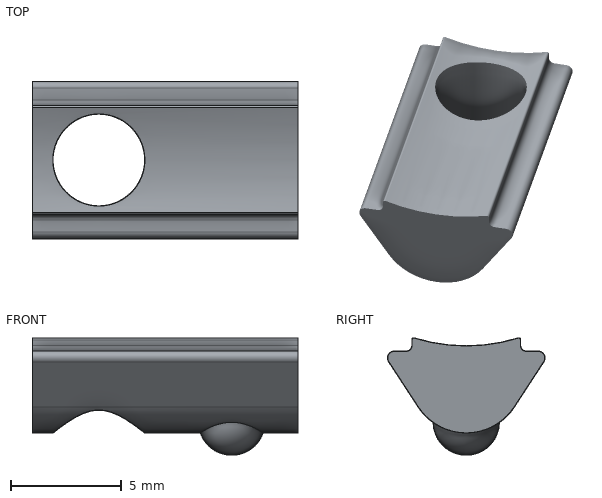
import cadquery as cq
import math

length = 12.0
width = 7.12
total_height = 5.3
body_height = 4.3
shoulder_drop = 0.6
lip_width = 4.92
groove_depth = 0.36
belly_radius = 2.6
ear_radius = 0.31
step_fillet = 0.25
lip_radius = 0.1
hole_diameter = 4.14
hole_x = 3.0
ball_x = 9.0
ball_radius = 1.5

body_bottom = total_height - body_height
shoulder_z = total_height - shoulder_drop

half_lip = lip_width / 2
crest_y = half_lip - lip_radius
lip_center_z = total_height - lip_radius

ear_y = width / 2 - ear_radius
ear_z = shoulder_z - ear_radius
belly_z = body_bottom + belly_radius
center_rise = ear_z - belly_z
center_distance = math.hypot(ear_y, center_rise)
flank_angle = math.atan2(center_rise, ear_y) + math.asin((belly_radius - ear_radius) / center_distance)
normal_y = math.sin(flank_angle)
normal_z = -math.cos(flank_angle)
flank_bottom = (belly_radius * normal_y, belly_z + belly_radius * normal_z)
flank_top = (ear_y + ear_radius * normal_y, ear_z + ear_radius * normal_z)


def mirrored(point):
    """Reflect a (y, z) profile point across the middle plane."""
    return (-point[0], point[1])


def make_body():
    """Extrude the cross-section along X and fillet its inner steps."""
    ear_side = (width / 2, ear_z)
    ear_top = (ear_y, shoulder_z)
    step = (half_lip, shoulder_z)
    lip_start = (half_lip, lip_center_z)
    lip_middle = (
        crest_y + lip_radius * math.sqrt(0.5),
        lip_center_z + lip_radius * math.sqrt(0.5),
    )
    crest = (crest_y, total_height)
    body = (
        cq.Workplane("YZ")
        .moveTo(*flank_bottom)
        .lineTo(*flank_top)
        .threePointArc(ear_side, ear_top)
        .lineTo(*step)
        .lineTo(*lip_start)
        .threePointArc(lip_middle, crest)
        .threePointArc((0, total_height - groove_depth), mirrored(crest))
        .threePointArc(mirrored(lip_middle), mirrored(lip_start))
        .lineTo(*mirrored(step))
        .lineTo(*mirrored(ear_top))
        .threePointArc(mirrored(ear_side), mirrored(flank_top))
        .lineTo(*mirrored(flank_bottom))
        .threePointArc((0, body_bottom), flank_bottom)
        .close()
        .extrude(length)
    )
    for y, z in (step, mirrored(step)):
        edge = cq.selectors.NearestToPointSelector((length / 2, y, z))
        body = body.edges(edge).fillet(step_fillet)
    return body


def make_hole():
    """Vertical cylinder passing through the whole body."""
    return (
        cq.Workplane("XY")
        .center(hole_x, 0)
        .circle(hole_diameter / 2)
        .extrude(total_height)
    )


def make_ball():
    """Ball partly sunk in the belly."""
    return cq.Workplane("XY").sphere(ball_radius).translate((ball_x, 0, ball_radius))


result = make_body().cut(make_hole()).union(make_ball())